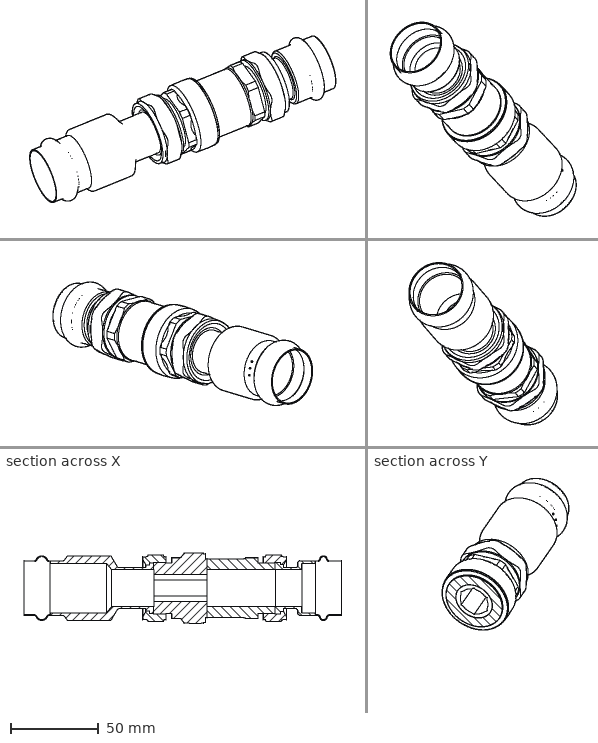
import cadquery as cq
import math


full_turn = 360
half_turn = full_turn / 2
sides = 6
side_angle = full_turn / sides
flat_first = side_angle / 2
corner_first = 0

length = 180.7
socket_r = 32.4 / 2
mouth_r = 30.9 / 2
bore_r = 29.0 / 2
bead_r = 19.0
front_bead_round = 3.6
rear_bead_round = 2.3
bead_fillet = 1.3
front_bead_y = 10.1
rear_bead_y = 10.3
mouth_depth = 14.8
neck_r = 25.0 / 2
neck_bore_r = 22.2 / 2
dimple_d = 0.9
dimple_depth = 0.4
dimple_y = 18.5
dimple_step = 14.5
dimple_count = 3

barrel_r = 19.0
barrel_start = 24.8
barrel_end = 49.5
barrel_front_slope = 2.2
barrel_rear_slope = 4.0
barrel_fillet = 1.0
front_bore_end = 47.0
bore_cone = 2.9

rear_socket_depth = 25.0
rear_bore_depth = 22.6
shoulder_chamfer = 0.9
neck_chamfer = 0.7

nut_length = 13.4
nut_flats = 36.9
nut_corner_fillet = 5.8
nut_crest_r = 20.6
nut_outer_collar = 1.8
nut_inner_collar = 1.0
nut_root_cone = 0.9
nut_root_rise = 0.27
nut_outer_cone = 0.9
nut_inner_cone = 1.3
nut_lip = 3.6
nut_lip_bore = 27.7
nut_mouth = 33.3
nut_mouth_depth = 1.6
flange_length = 2.7

spigot_r = 30.0 / 2
hex_flats = 34.7
hex_corner_r = 38.0 / 2
front_nut_y = 67.6
rear_nut_y = 149.5
front_hex_start = 84.0
collar_start = 89.3
collar_front_r = 18.0
collar_cone = 1.8
front_root_cone = 1.5
collar_end = 103.4
collar_r = 41.4 / 2
collar_edge_r = 20.5
collar_step_r = 20.0
collar_step = 1.0
joint_y = 104.3
rear_hex_start = 126.2
rear_hex_end = 133.2
rear_hex_cone = 0.7
rear_root_cone = 0.9
rear_root_rise = 0.4
key_flats = 15.9
key_bore = 17.0


def revolve(profile):
    """Turn a closed (radius, y) outline about the Y axis."""
    return profile.close().revolve(full_turn, (0, 0, 0), (0, 1, 0))


def rod(radius, start, end):
    """Cylinder along Y."""
    return revolve(cq.Workplane().moveTo(0, start).lineTo(radius, start).lineTo(radius, end).lineTo(0, end))


def hex_prism(flats, start, end, first_corner):
    """Hexagonal prism along Y, with its first corner at the given angle from +X."""
    corner_r = flats / 2 / math.cos(math.pi / sides)
    angles = [math.radians(first_corner + side_angle * i) for i in range(sides)]
    points = [(corner_r * math.cos(a), corner_r * math.sin(a)) for a in angles]
    plane = cq.Plane(origin=(0, start, 0), xDir=(1, 0, 0), normal=(0, 1, 0))
    return cq.Workplane(plane).polyline(points).close().extrude(end - start)


def bead(bead_y, tube_r, crest_r, round_r, fillet_r):
    """Ring with a round crest that blends into a tube, centred on bead_y."""
    centre_r = crest_r - round_r
    fillet_centre_r = tube_r + fillet_r
    rise = fillet_centre_r - centre_r
    foot = math.sqrt((round_r + fillet_r) ** 2 - rise ** 2)
    share = round_r / (round_r + fillet_r)
    blend = (centre_r + rise * share, foot * share)
    blend_angle = math.atan2(rise, foot)
    middle = (math.pi / 2 + blend_angle) / 2
    fillet_mid = (fillet_centre_r - fillet_r * math.sin(middle), foot - fillet_r * math.cos(middle))
    return revolve(
        cq.Workplane()
        .moveTo(0, bead_y - foot)
        .lineTo(tube_r, bead_y - foot)
        .threePointArc((fillet_mid[0], bead_y - fillet_mid[1]), (blend[0], bead_y - blend[1]))
        .threePointArc((crest_r, bead_y), (blend[0], bead_y + blend[1]))
        .threePointArc((fillet_mid[0], bead_y + fillet_mid[1]), (tube_r, bead_y + foot))
        .lineTo(0, bead_y + foot)
    )


def add_press_end(blank, bead_y, bead_round):
    """Add the bead to a fitting whose mouth is at Y = 0, and open its mouth and bead groove."""
    wall = socket_r - mouth_r
    outer = bead(bead_y, socket_r, bead_r, bead_round, bead_fillet)
    groove = bead(bead_y, mouth_r, bead_r - wall, bead_round - wall, bead_fillet + wall)
    return blank.union(outer).cut(rod(mouth_r, 0, mouth_depth)).cut(groove)


def edges_at(radius, y):
    """Selector for the circular edge of a given radius at a given Y."""
    tolerance = 0.02
    return cq.selectors.BoxSelector(
        (-radius - tolerance, y - tolerance, -radius - tolerance),
        (radius + tolerance, y + tolerance, radius + tolerance),
        boundingbox=True,
    )


def front_fitting():
    flange_start = front_nut_y + nut_lip
    flange_end = flange_start + flange_length
    hub_start = front_nut_y + nut_mouth_depth
    neck_start = barrel_end + barrel_rear_slope
    blank = revolve(
        cq.Workplane()
        .moveTo(0, 0)
        .lineTo(socket_r, 0)
        .lineTo(socket_r, barrel_start - barrel_front_slope)
        .lineTo(barrel_r, barrel_start)
        .lineTo(barrel_r, barrel_end)
        .lineTo(neck_r, neck_start)
        .lineTo(neck_r, hub_start)
        .lineTo(nut_lip_bore / 2, hub_start)
        .lineTo(nut_lip_bore / 2, flange_start)
        .lineTo(spigot_r, flange_start)
        .lineTo(spigot_r, flange_end)
        .lineTo(0, flange_end)
    )
    for radius, y in ((barrel_r, barrel_start), (barrel_r, barrel_end), (neck_r, neck_start)):
        blank = blank.edges(edges_at(radius, y)).fillet(barrel_fillet)
    bore_cone_end = front_bore_end + bore_cone
    bore = revolve(
        cq.Workplane()
        .moveTo(0, 0)
        .lineTo(bore_r, 0)
        .lineTo(bore_r, front_bore_end)
        .lineTo(neck_bore_r, bore_cone_end)
        .lineTo(neck_bore_r, flange_end)
        .lineTo(0, flange_end)
    )
    fitting = add_press_end(blank.cut(bore), front_bead_y, front_bead_round)
    for i in range(dimple_count):
        plane = cq.Plane(origin=(0, dimple_y, 0), xDir=(0, 1, 0), normal=(-1, 0, 0))
        dimple = (
            cq.Workplane(plane)
            .workplane(offset=socket_r - dimple_depth)
            .circle(dimple_d / 2)
            .extrude(2 * dimple_depth)
            .rotate((0, 0, 0), (0, 1, 0), dimple_step * i)
        )
        fitting = fitting.cut(dimple)
    return fitting


def rear_fitting():
    """Built with its mouth at Y = 0, then turned round to the rear end."""
    hub_start = length - rear_nut_y + nut_mouth_depth
    flange_start = length - rear_nut_y + nut_lip
    flange_end = flange_start + flange_length
    blank = revolve(
        cq.Workplane()
        .moveTo(0, 0)
        .lineTo(socket_r, 0)
        .lineTo(socket_r, rear_socket_depth - shoulder_chamfer)
        .lineTo(socket_r - shoulder_chamfer, rear_socket_depth)
        .lineTo(neck_r + neck_chamfer, rear_socket_depth)
        .lineTo(neck_r, rear_socket_depth + neck_chamfer)
        .lineTo(neck_r, hub_start)
        .lineTo(nut_lip_bore / 2, hub_start)
        .lineTo(nut_lip_bore / 2, flange_start)
        .lineTo(spigot_r, flange_start)
        .lineTo(spigot_r, flange_end)
        .lineTo(0, flange_end)
    )
    blank = blank.cut(rod(bore_r, 0, rear_bore_depth)).cut(rod(neck_bore_r, 0, flange_end))
    fitting = add_press_end(blank, rear_bead_y, rear_bead_round)
    return fitting.rotate((0, 0, 0), (0, 0, 1), half_turn).translate((0, length, 0))


def union_nut():
    """Nut with its fitting side at Y = 0 and its open side towards +Y."""
    collar_radius = nut_flats / 2
    hex_end = nut_length - nut_inner_collar
    hex_start = nut_outer_collar + nut_root_cone
    root_r = collar_radius + nut_root_rise
    body = hex_prism(nut_flats, hex_start, hex_end, flat_first).edges("|Y").fillet(nut_corner_fillet)
    body = body.intersect(revolve(
        cq.Workplane()
        .moveTo(0, hex_start)
        .lineTo(root_r, hex_start)
        .lineTo(nut_crest_r, hex_start + nut_outer_cone)
        .lineTo(nut_crest_r, hex_end - nut_inner_cone)
        .lineTo(collar_radius, hex_end)
        .lineTo(0, hex_end)
    ))
    body = body.union(revolve(
        cq.Workplane()
        .moveTo(0, 0)
        .lineTo(collar_radius, 0)
        .lineTo(collar_radius, nut_outer_collar)
        .lineTo(root_r, hex_start)
        .lineTo(0, hex_start)
    ))
    body = body.union(rod(collar_radius, hex_end, nut_length))
    lip_r = nut_lip_bore / 2
    return body.cut(revolve(
        cq.Workplane()
        .moveTo(0, 0)
        .lineTo(nut_mouth / 2, 0)
        .lineTo(lip_r, nut_mouth_depth)
        .lineTo(lip_r, nut_lip)
        .lineTo(spigot_r, nut_lip)
        .lineTo(spigot_r, nut_length)
        .lineTo(0, nut_length)
    ))


def front_housing():
    spigot_end = front_nut_y + nut_lip + flange_length
    body = hex_prism(hex_flats, front_hex_start, collar_start, corner_first)
    body = body.intersect(rod(hex_corner_r, front_hex_start, collar_start))
    body = body.union(rod(spigot_r, spigot_end, collar_start))
    step_start = collar_end - collar_step
    barrel_edge = collar_start + collar_cone
    collar = revolve(
        cq.Workplane()
        .moveTo(0, collar_start - front_root_cone)
        .lineTo(hex_flats / 2, collar_start - front_root_cone)
        .lineTo(collar_front_r, collar_start)
        .lineTo(collar_edge_r, barrel_edge)
        .threePointArc((collar_r, (barrel_edge + step_start) / 2), (collar_edge_r, step_start))
        .lineTo(collar_step_r, step_start)
        .lineTo(collar_step_r, collar_end)
        .lineTo(hex_flats / 2, collar_end)
        .lineTo(hex_flats / 2, joint_y)
        .lineTo(0, joint_y)
    )
    body = body.union(collar)
    body = body.cut(hex_prism(key_flats, spigot_end, joint_y, flat_first))
    return body.cut(rod(key_bore / 2, spigot_end, joint_y))


def rear_housing():
    spigot_end = rear_nut_y - nut_lip - flange_length
    main_r = hex_flats / 2
    root_r = main_r + rear_root_rise
    body = hex_prism(hex_flats, rear_hex_start, rear_hex_end, corner_first).intersect(revolve(
        cq.Workplane()
        .moveTo(0, rear_hex_start)
        .lineTo(root_r, rear_hex_start)
        .lineTo(hex_corner_r, rear_hex_start + rear_hex_cone)
        .lineTo(hex_corner_r, rear_hex_end)
        .lineTo(0, rear_hex_end)
    ))
    body = body.union(revolve(
        cq.Workplane()
        .moveTo(0, joint_y)
        .lineTo(main_r, joint_y)
        .lineTo(main_r, rear_hex_start - rear_root_cone)
        .lineTo(root_r, rear_hex_start)
        .lineTo(0, rear_hex_start)
    ))
    body = body.union(rod(spigot_r, rear_hex_end, spigot_end))
    return body.cut(rod(neck_bore_r, joint_y, spigot_end))


front_nut = union_nut().translate((0, front_nut_y, 0))
rear_nut = union_nut().rotate((0, 0, 0), (0, 0, 1), half_turn).translate((0, rear_nut_y, 0))

result = cq.Compound.makeCompound([
    front_fitting().val(),
    front_nut.val(),
    front_housing().val(),
    rear_housing().val(),
    rear_nut.val(),
    rear_fitting().val(),
])